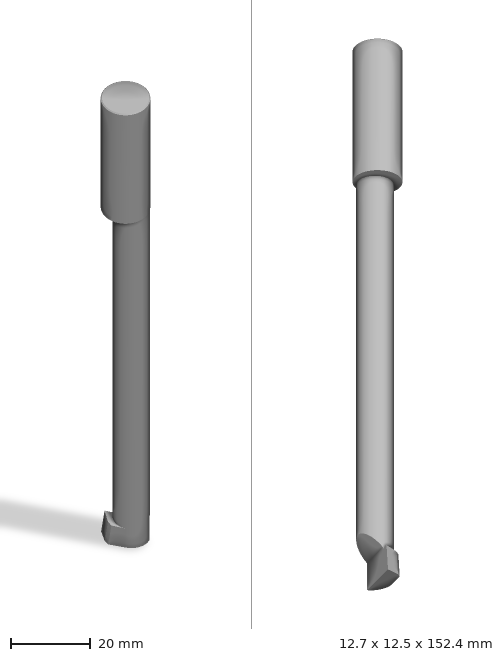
import cadquery as cq
import math

total_length = 152.4
shank_length = 38.0
shank_diameter = 12.5
shank_chamfer = 0.3
neck_diameter = 9.5

head_height = 7.5
tip_x = -6.4
heel_x = -4.4
heel_y = -3.7
front_x = -3.2
side_relief_angle = 7.0
bottom_relief_angle = 7.0
edge_relief_angle = 2.0

flat_height = 8.1

shank_radius = shank_diameter / 2
neck_radius = neck_diameter / 2
neck_x = shank_radius - neck_radius
shank_bottom = total_length - shank_length


def make_shank():
    return (
        cq.Workplane("XY")
        .workplane(offset=shank_bottom)
        .circle(shank_radius)
        .extrude(shank_length)
        .faces(">Z")
        .chamfer(shank_chamfer)
    )


def make_neck():
    return cq.Workplane("XY").center(neck_x, 0).circle(neck_radius).extrude(shank_bottom)


def cut_flat(body):
    """Remove the +Y half of the neck near the head."""
    reach = shank_diameter
    run_out = (
        cq.Workplane("YZ")
        .polyline([(0, 0), (0, flat_height), (reach, flat_height + reach), (reach, 0)])
        .close()
        .extrude(reach, both=True)
    )
    return body.cut(run_out)


def make_head():
    """Faceted head whose flank facets all lean towards +X."""
    lean = head_height * math.tan(math.radians(side_relief_angle))

    def section(shift):
        return [
            (neck_x, 0),
            (tip_x + shift, 0),
            (heel_x + shift, heel_y),
            (front_x + shift, -neck_radius),
            (neck_x, -neck_radius),
        ]

    return (
        cq.Workplane("XY")
        .polyline(section(0))
        .close()
        .workplane(offset=head_height)
        .polyline(section(lean))
        .close()
        .loft(ruled=True)
    )


def cut_end_relief(body):
    """Trim the end with a plane through the tip, rising towards -Y and +X."""
    size = 3 * shank_diameter
    cutter = (
        cq.Workplane("XY")
        .box(size, size, shank_diameter, centered=(True, True, False))
        .translate((0, 0, -shank_diameter))
        .rotate((0, 0, 0), (1, 0, 0), -bottom_relief_angle)
        .rotate((0, 0, 0), (0, 1, 0), -edge_relief_angle)
        .translate((tip_x, 0, 0))
    )
    return body.cut(cutter)


neck = cut_flat(make_neck())
result = cut_end_relief(make_shank().union(neck).union(make_head()))